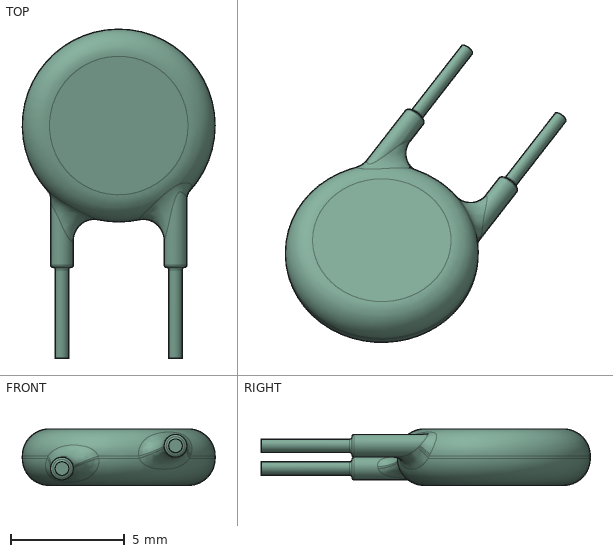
import cadquery as cq

disc_diameter = 8.5
disc_thickness = 2.5
rim_land = 0.1
rim_radius = (disc_thickness - rim_land) / 2

overall_length = 14.5
lead_pitch = 5.0
lead_stagger = 1.0
wire_radius = 0.3
wire_tip_y = disc_diameter / 2 - overall_length

sleeve_radius = 0.5
sleeve_start_y = -2.4
sleeve_end_y = -6.25
sleeve_step_radius = (sleeve_radius - wire_radius) / 2
blend_radius = 1.0

lead_positions = [(side * lead_pitch / 2, side * lead_stagger / 2) for side in (-1, 1)]


def make_disc():
    """Flat disc with a rounded rim."""
    blank = cq.Workplane("XY").circle(disc_diameter / 2).extrude(disc_thickness / 2, both=True)
    return blank.faces("|Z").edges().fillet(rim_radius)


def make_lead(x, z):
    """Sleeve and wire turned about the lead axis, joined by an S-shaped step."""
    step_middle = sleeve_radius - sleeve_step_radius
    half_profile = (
        cq.Workplane("XY")
        .moveTo(0, sleeve_start_y)
        .lineTo(sleeve_radius, sleeve_start_y)
        .lineTo(sleeve_radius, sleeve_end_y + sleeve_step_radius)
        .radiusArc((step_middle, sleeve_end_y), sleeve_step_radius)
        .radiusArc((wire_radius, sleeve_end_y - sleeve_step_radius), -sleeve_step_radius)
        .lineTo(wire_radius, wire_tip_y)
        .lineTo(0, wire_tip_y)
        .close()
    )
    return half_profile.revolve(360, (0, 0, 0), (0, 1, 0)).translate((x, 0, z))


def blend_seams(body):
    """Round the inside corners where the sleeves leave the disc."""
    half_width = disc_diameter / 2
    seam_zone = cq.selectors.BoxSelector(
        (-half_width, -half_width, -disc_thickness),
        (half_width, sleeve_start_y, disc_thickness),
        boundingbox=True,
    )
    return body.edges(seam_zone).fillet(blend_radius)


body = make_disc()
for lead_x, lead_z in lead_positions:
    body = body.union(make_lead(lead_x, lead_z))

result = blend_seams(body)